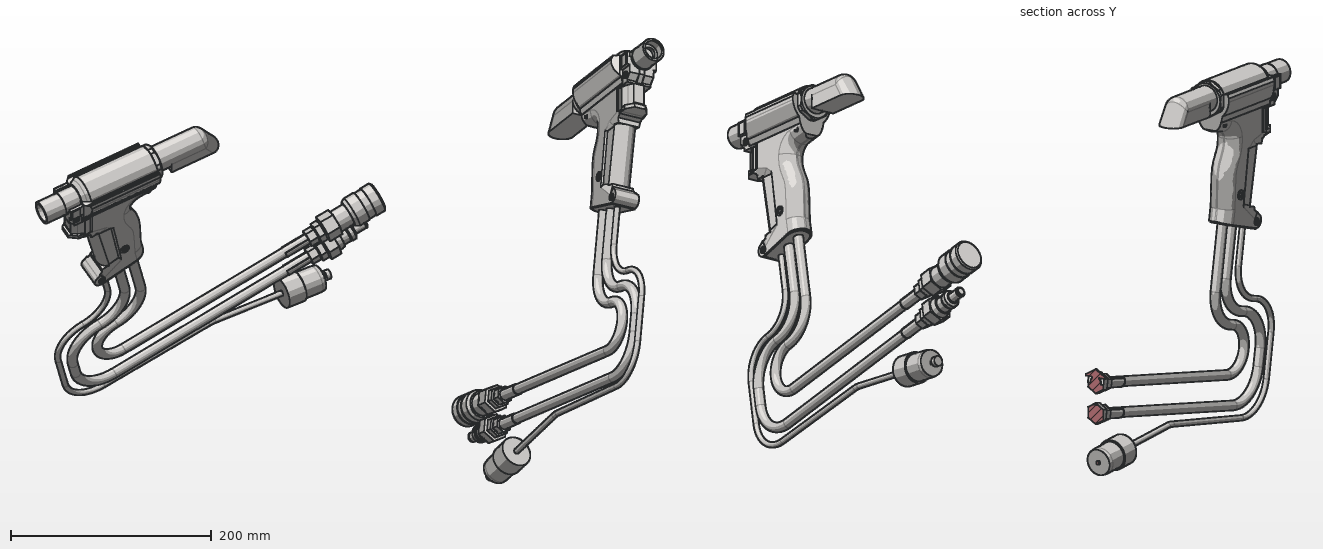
import cadquery as cq
import math


MARGIN = 1.0

BARREL_RADIUS = 18.5
BARREL_REAR = -124.0
BARREL_FRONT = -39.5
SHOULDER_REAR = (-47.6, BARREL_RADIUS)
SHOULDER_MIDDLE = (-43.8, BARREL_RADIUS - 2.2)
SHOULDER_FRONT_RADIUS = 13.8
NOSE_RADIUS = 11.9
NOSE_SLEEVE_RADIUS = 12.2
NOSE_SLEEVE_FRONT = -21.8
NOSE_BORE_RADIUS = 9.5
NOSE_BORE_DEPTH = 9.0
TIP_HOLE_RADIUS = 13.08 / 2
TIP_HOLE_DEPTH = 4.0

COLLAR_FLATS = 34.0
COLLAR_LENGTH = 6.0
COLLAR_OUTER_RADIUS = 18.2
COLLAR_CHAMFER = 1.5

SPOUT_RADIUS = 13.3
SPOUT_ROUNDING = 8.0
SPOUT_RISE = 1.1
SPOUT_FLOOR = -13.1 - SPOUT_RISE
SPOUT_SLOPE = math.radians(58)
SPOUT_BEND = -181.3
SPOUT_BOX_FRONT = -142.3
SPOUT_SLOPED_HALF_DEPTH = 9.7
SPOUT_REACH = 40.0

OVERALL_WIDTH = 46.41
EAR_HALF = OVERALL_WIDTH / 2
EAR_TOP = 7.0
EAR_LIP_INNER = 19.6
EAR_LIP_HEIGHT = 0.5
EAR_CORNER = 1.3
EAR_BOTTOM = -23.5
EAR_CURVE_TOP = 3.2
EAR_CURVE_MIDDLE = (21.2, -8.5)
EAR_CURVE_END = (15.3, -16.8)
EAR_BASE_HALF = 13.9
EAR_FRONT = -38.8
EAR_TAPER = 6.2
LUG_HALF = 16.7
LUG_PAD_MARGIN = 4.0
LUG_PAD_HEIGHT = 0.5
LUG_PAD_HEAD = 1.0
LUG_FRONT = -24.0
LUG_TOP = 4.7
LUG_BOTTOM = -9.3
BLOCK_REAR = -48.0
BLOCK_BOTTOM = -26.0
CHAMFER_TOP = -17.6
CHAMFER_REAR = -30.0
LUG_INNER_HALF = 13.6
CLIP_HALF = 3.0
CLIP_PROUD = 0.8
CLIP_BOTTOM = -25.0

GRIP_HALF = 13.5
GRIP_TOP = -10.0
HEAD_FRONT = -50.8
SHELF_UNDERSIDE = [(-124.0, -33.0), (-120.0, -35.6), (-107.8, -37.9)]
THROAT_END = (-99.6, -47.0)
GRIP_BACK = [(-107.8, -71.7), (-111.5, -95.2), (-112.2, -117.0)]
GRIP_BACK_TANGENTS = [(0.08, -1), (-0.03, -1)]
HEEL = (-114.6, -130.0)
TOE_TIP = (-54.2, -142.5)
TOE_TOP = (-57.5, -133.0)
INSTEP = (-62.8, -127.8)
HEAD_UNDERSIDE = [(-49.8, -57.0), (-46.1, -54.1), (-40.2, -52.6), (HEAD_FRONT, -50.0)]
GRIP_ROUNDED_LOW = (97.0, -128.0)
GRIP_ROUNDED_HIGH = (119.0, -36.0)
GRIP_REAR_ROUNDING = 12.7
FOOT_REAR = (-113.0, -131.0)
FOOT_FRONT = (-62.3, -146.6)
FOOT_COVER_THICKNESS = 1.2
FOOT_COVER_INSET = 0.5
PANEL_HALF = 11.7
PANEL_OVERCUT = 0.01
PANEL_FLOOR_OUTLINE = [
    (-73.3, -62.1), (-82.1, -117.5), (-61.0, -125.0), (-40.0, -125.0), (-40.0, -62.1), (-60.0, -62.1)
]
PANEL_RIM_OUTLINE = [
    (-75.2, -60.7), (-84.3, -119.9), (-64.5, -137.0), (-60.0, -129.0), (-45.0, -48.5), (-66.7, -54.1)
]
PANEL_FRONT_DEPTH = 8.5
PANEL_FRONT_RADIUS = (PANEL_HALF**2 + PANEL_FRONT_DEPTH**2) / (2 * PANEL_FRONT_DEPTH)
PANEL_FRONT_LOW = (-63.0, -124.6)
PANEL_FRONT_HIGH = (-50.5, -62.1)
TRIGGER_FLOOR = -49.0
TRIGGER_TOP = -24.0
TRIGGER_REAR = -51.0
TRIGGER_BASE = -52.0
TRIGGER_PLAN = [(12.0, 46.0), (12.0, 43.2), (9.5, 36.0), (5.7, 30.7)]
TRIGGER_STEPS = [(-48.8, GRIP_HALF - 0.4), (-43.2, GRIP_HALF - 0.8)]
LEDGE_PLAN = [(12.5, 46.0), (12.5, 36.0), (6.0, 27.4)]
BUTTON_FRONT = -29.7
BUTTON_TOP = -26.0
BUTTON_HALF = 5.7
BUTTON_BOTTOM = -46.8
LEDGE_THICKNESS = 4.2

SCREW_HEAD_HEIGHT = 0.6
SCREW_SLOT_WIDTH = 1.52
SCREW_SLOT_RATIO = 0.65
FRONT_SCREW = (-32.5, -17.3, 7.34, 13.6)
REAR_SCREW = (-115.6, -27.0, 5.77, 12.4)
FOOT_SCREW = (-61.8, -140.0, 7.34, 13.5)
PIN_CENTER = (-88.4, -106.2)
PIN_RECESS_DIAMETER = 9.53
PIN_DIAMETER = 4.83
PIN_RECESS_DEPTH = 1.0

HOSE_DIAMETER = 10.16
CABLE_DIAMETER = 5.79
CABLE_OFFSET = -2.3
SLEEVE_SLOT_WIDTH = 7.3
GRIP_TILT = 10.0
DOWN_HEADING = -90.0 - GRIP_TILT
HOSE_NUTS = [
    ("sleeve", 27.0, 11.44),
    ("hex", 9.5, 15.11),
    ("round", 0.8, 13.08),
    ("hex", 7.0, 19.0),
    ("round", 1.2, 13.08),
]
COUPLER = HOSE_NUTS + [
    ("hex", 14.5, 24.4),
    ("round", 15.0, 23.0),
    ("cone", 4.0, (27.0, 31.75)),
    ("round", 11.5, 31.75),
    ("round", 8.0, 30.2),
    ("round", 10.0, 31.75),
    ("cone", 1.5, (31.75, 28.5)),
]
PLUG = HOSE_NUTS + [
    ("hex", 11.5, 24.4),
    ("cone", 6.5, (22.0, 19.5)),
    ("round", 8.0, 16.5),
    ("round", 1.5, 15.11),
    ("round", 4.5, 17.78),
    ("cone", 2.0, (17.78, 12.59)),
    ("round", 12.0, 9.78),
    ("round", 1.5, 10.16),
    ("cone", 1.0, (10.16, 7.34)),
]
CAP = [
    ("round", 19.6, 31.75),
    ("round", 19.5, 28.2),
    ("cone", 4.5, (28.2, 27.0)),
    ("round", 6.0, 4.06),
    ("round", 5.0, 10.16),
]
LEAD_BEND = 35.5
TIGHT_BEND = 25.4
WIDE_BEND = 38.1
CABLE_BEND = 35.0


def side_plane(x=0.0):
    """Plane parallel to YZ whose local axes are forward (u) and up (v)."""
    return cq.Plane(origin=(x, 0, 0), xDir=(0, -1, 0), normal=(-1, 0, 0))


def side_plate(outline, half_width):
    """Closed (u, v) wire extruded evenly to both sides of the middle plane."""
    return outline.close().extrude(half_width, both=True)


def side_polygon(points):
    return cq.Workplane(side_plane()).polyline(points)


def rod(rear, front, radius):
    """Cylinder along the barrel axis between two u positions."""
    return cq.Workplane("XZ").workplane(offset=rear).circle(radius).extrude(front - rear)


def heading_vector(heading):
    """Unit direction of a heading given in degrees in the (u, v) plane."""
    angle = math.radians(heading)
    return cq.Vector(0, -math.cos(angle), math.sin(angle))


def make_barrel():
    profile = (
        cq.Workplane(side_plane())
        .moveTo(BARREL_REAR, 0)
        .lineTo(BARREL_REAR, BARREL_RADIUS)
        .lineTo(*SHOULDER_REAR)
        .lineTo(*SHOULDER_MIDDLE)
        .lineTo(BARREL_FRONT, SHOULDER_FRONT_RADIUS)
        .lineTo(BARREL_FRONT, NOSE_SLEEVE_RADIUS)
        .lineTo(NOSE_SLEEVE_FRONT, NOSE_SLEEVE_RADIUS)
        .lineTo(NOSE_SLEEVE_FRONT, NOSE_RADIUS)
        .lineTo(0, NOSE_RADIUS)
        .lineTo(0, 0)
        .close()
    )
    return profile.revolve(360, (0, 0), (1, 0))


def make_nose_bore():
    floor = -NOSE_BORE_DEPTH
    return rod(floor, 0, NOSE_BORE_RADIUS).union(rod(floor - TIP_HOLE_DEPTH, floor, TIP_HOLE_RADIUS))


def make_collar():
    rear = BARREL_REAR - COLLAR_LENGTH
    corner_diameter = COLLAR_FLATS / math.cos(math.pi / 6)
    hexagon = cq.Workplane("XZ").workplane(offset=rear).transformed(rotate=(0, 0, 30))
    hexagon = hexagon.polygon(6, corner_diameter).extrude(COLLAR_LENGTH)
    turned = rod(rear, BARREL_REAR, COLLAR_OUTER_RADIUS).faces(">Y").chamfer(COLLAR_CHAMFER)
    return hexagon.intersect(turned)


def make_spout():
    """Round tube whose rear half has straight sides and a flat floor, closed by a sloping round end."""
    reach = SPOUT_REACH
    rear = SPOUT_BEND - reach
    tube = rod(rear, BARREL_REAR, SPOUT_RADIUS)
    sides = side_plate(
        side_polygon([(rear, 0), (SPOUT_BOX_FRONT, 0), (SPOUT_BOX_FRONT, -reach), (rear, -reach)]),
        SPOUT_RADIUS,
    )
    slope = cq.Vector(0, math.cos(SPOUT_SLOPE), -math.sin(SPOUT_SLOPE))
    start = cq.Vector(0, -SPOUT_BEND, 0)
    slope_plane = cq.Plane(origin=start.toTuple(), xDir=(1, 0, 0), normal=slope.toTuple())
    rounded_end = cq.Workplane(slope_plane).workplane(offset=-reach)
    rounded_end = rounded_end.ellipse(SPOUT_RADIUS, SPOUT_SLOPED_HALF_DEPTH).extrude(2 * reach)
    run = reach * math.cos(SPOUT_SLOPE)
    rise = reach * math.sin(SPOUT_SLOPE)
    ahead = side_plate(
        side_polygon(
            [
                (SPOUT_BEND - run, -rise),
                (SPOUT_BEND + run, rise),
                (BARREL_REAR, rise),
                (BARREL_REAR, -rise),
            ]
        ),
        reach,
    )
    spout = tube.union(sides).intersect(rounded_end.union(ahead))
    floor = cq.Workplane("XY").workplane(offset=SPOUT_FLOOR).center(0, -SPOUT_BEND)
    spout = spout.intersect(floor.rect(2 * reach, 4 * reach).extrude(2 * reach))
    crown_end = -SPOUT_BEND + SPOUT_RADIUS
    crown = cq.selectors.BoxSelector((-MARGIN, -SPOUT_BEND, 0), (MARGIN, crown_end, SPOUT_RADIUS))
    return spout.edges(crown).fillet(SPOUT_ROUNDING).translate((0, 0, SPOUT_RISE))


def make_ears():
    half_section = (
        cq.Workplane("XZ")
        .workplane(offset=BARREL_REAR)
        .moveTo(0, EAR_TOP - EAR_LIP_HEIGHT)
        .lineTo(EAR_LIP_INNER, EAR_TOP - EAR_LIP_HEIGHT)
        .lineTo(EAR_LIP_INNER, EAR_TOP)
        .lineTo(EAR_HALF - EAR_CORNER, EAR_TOP)
        .lineTo(EAR_HALF, EAR_CURVE_TOP)
        .threePointArc(EAR_CURVE_MIDDLE, EAR_CURVE_END)
        .lineTo(EAR_BASE_HALF, EAR_BOTTOM)
        .lineTo(0, EAR_BOTTOM)
        .close()
        .extrude(EAR_FRONT - BARREL_REAR)
    )
    section = half_section.union(half_section.mirror("YZ"))
    plan = cq.Workplane("XY").polyline(
        [
            (-EAR_HALF, -BARREL_REAR),
            (EAR_HALF, -BARREL_REAR),
            (EAR_HALF, -EAR_FRONT + EAR_TAPER),
            (EAR_HALF - EAR_TAPER, -EAR_FRONT),
            (EAR_TAPER - EAR_HALF, -EAR_FRONT),
            (-EAR_HALF, -EAR_FRONT + EAR_TAPER),
        ]
    )
    plan = plan.close().extrude(2 * EAR_HALF, both=True)
    return section.intersect(plan)


def make_front_block():
    lugs = side_plate(
        side_polygon(
            [(EAR_FRONT, LUG_TOP), (LUG_FRONT, LUG_TOP), (LUG_FRONT, LUG_BOTTOM), (EAR_FRONT, LUG_BOTTOM)]
        ),
        LUG_HALF,
    )
    gap = side_plate(
        side_polygon(
            [(EAR_FRONT, 0), (LUG_FRONT, 0), (LUG_FRONT, LUG_TOP), (EAR_FRONT, LUG_TOP)]
        ),
        LUG_INNER_HALF,
    )
    block = side_plate(
        side_polygon(
            [
                (BLOCK_REAR, LUG_BOTTOM),
                (LUG_FRONT, LUG_BOTTOM),
                (LUG_FRONT, CHAMFER_TOP),
                (CHAMFER_REAR, EAR_BOTTOM),
                (CHAMFER_REAR, BLOCK_BOTTOM),
                (BLOCK_REAR, BLOCK_BOTTOM),
            ]
        ),
        GRIP_HALF,
    )
    clip = side_plate(
        side_polygon(
            [
                (BLOCK_REAR, LUG_BOTTOM),
                (LUG_FRONT + CLIP_PROUD, LUG_BOTTOM),
                (LUG_FRONT + CLIP_PROUD, CHAMFER_TOP),
                (CHAMFER_REAR + CLIP_PROUD, CLIP_BOTTOM),
                (BLOCK_REAR, CLIP_BOTTOM),
            ]
        ),
        CLIP_HALF,
    )
    pad_rear = EAR_FRONT + LUG_PAD_MARGIN
    pad_front = LUG_FRONT - LUG_PAD_MARGIN / 2
    pads = side_plate(
        side_polygon(
            [
                (pad_rear, LUG_TOP - LUG_PAD_HEAD),
                (pad_front, LUG_TOP - LUG_PAD_HEAD),
                (pad_front, LUG_BOTTOM),
                (pad_rear, LUG_BOTTOM),
            ]
        ),
        LUG_HALF + LUG_PAD_HEIGHT,
    )
    lugs = lugs.union(pads)
    return lugs.cut(gap).union(block).union(clip)


def make_grip():
    outline = (
        cq.Workplane(side_plane())
        .moveTo(HEAD_FRONT, GRIP_TOP)
        .lineTo(BARREL_REAR, GRIP_TOP)
        .polyline(SHELF_UNDERSIDE, includeCurrent=True)
        .tangentArcPoint(THROAT_END, relative=False)
        .spline(GRIP_BACK, tangents=GRIP_BACK_TANGENTS, includeCurrent=True)
        .lineTo(*HEEL)
        .lineTo(*FOOT_REAR)
        .lineTo(*FOOT_FRONT)
        .threePointArc(TOE_TIP, TOE_TOP)
        .lineTo(*INSTEP)
        .lineTo(*PANEL_FRONT_LOW)
        .lineTo(*PANEL_FRONT_HIGH)
        .polyline(HEAD_UNDERSIDE, includeCurrent=True)
    )
    grip = side_plate(outline, GRIP_HALF)
    reach = GRIP_HALF + MARGIN
    rear_edges = cq.selectors.BoxSelector((-reach, *GRIP_ROUNDED_LOW), (reach, *GRIP_ROUNDED_HIGH))
    grip = grip.edges("(not |X)").edges(rear_edges).fillet(GRIP_REAR_ROUNDING)
    for side in (-1, 1):
        grip = grip.cut(make_grip_panel(side)).cut(make_panel_corner(side))
    return grip.union(make_foot_cover())


def make_foot_cover():
    """Thin plate under the grip, set in slightly from its sides."""
    rear_u, rear_v = FOOT_REAR
    front_u, front_v = FOOT_FRONT
    plate = side_plate(
        side_polygon(
            [
                (rear_u, rear_v),
                (front_u, front_v),
                (front_u, front_v - FOOT_COVER_THICKNESS),
                (rear_u, rear_v - FOOT_COVER_THICKNESS),
            ]
        ),
        GRIP_HALF,
    )
    half = GRIP_HALF - FOOT_COVER_INSET
    plan = (
        cq.Workplane("XY")
        .workplane(offset=2 * front_v)
        .moveTo(-half, -front_u)
        .lineTo(-half, -rear_u - half)
        .threePointArc((0, -rear_u), (half, -rear_u - half))
        .lineTo(half, -front_u)
        .close()
        .extrude(-2 * front_v)
    )
    return plate.intersect(plan)


def make_panel_corner(side):
    """Waste outside the rounded front corner of the narrowed part of the grip."""
    low = cq.Vector(0, -PANEL_FRONT_LOW[0], PANEL_FRONT_LOW[1])
    high = cq.Vector(0, -PANEL_FRONT_HIGH[0], PANEL_FRONT_HIGH[1])
    along = high - low
    mid_angle = math.asin(PANEL_HALF / PANEL_FRONT_RADIUS) / 2
    mid_x = PANEL_FRONT_RADIUS * math.sin(mid_angle)
    mid_depth = PANEL_FRONT_RADIUS * (1 - math.cos(mid_angle))
    plane = cq.Plane(origin=low.toTuple(), xDir=(1, 0, 0), normal=along.toTuple())
    waste = (
        cq.Workplane(plane)
        .threePointArc((side * mid_x, mid_depth), (side * PANEL_HALF, PANEL_FRONT_DEPTH))
        .lineTo(side * (GRIP_HALF + MARGIN), PANEL_FRONT_DEPTH)
        .lineTo(side * (GRIP_HALF + MARGIN), -MARGIN)
        .lineTo(0, -MARGIN)
        .close()
    )
    return waste.extrude(along.Length)


def make_grip_panel(side):
    """Waste beside the narrowed front of the grip, with sloping ramps at its top and bottom."""
    return (
        cq.Workplane(side_plane(side * PANEL_HALF))
        .polyline(PANEL_FLOOR_OUTLINE)
        .close()
        .workplane(offset=-side * (GRIP_HALF + PANEL_OVERCUT - PANEL_HALF))
        .polyline(PANEL_RIM_OUTLINE)
        .close()
        .loft(ruled=True)
    )


def mirrored_plan(height, half_outline, thickness):
    """Plan outline given for +X only, mirrored to -X and extruded upward from a height."""
    mirrored = [(-x, y) for x, y in reversed(half_outline)]
    plan = cq.Workplane("XY").workplane(offset=height).polyline(half_outline + mirrored)
    return plan.close().extrude(thickness)


def trigger_box(rear, front, bottom, top, half_width):
    corners = [(rear, bottom), (rear, top), (front, top), (front, bottom)]
    return side_plate(side_polygon(corners), half_width)


def make_trigger():
    """Stepped housing with tapering sides, a front button and a ledge beneath."""
    trigger = mirrored_plan(TRIGGER_FLOOR, TRIGGER_PLAN, TRIGGER_TOP - TRIGGER_FLOOR)
    for front, half_width in TRIGGER_STEPS:
        trigger = trigger.union(trigger_box(TRIGGER_REAR, front, TRIGGER_BASE, TRIGGER_TOP, half_width))
    button = trigger_box(TRIGGER_REAR, BUTTON_FRONT, BUTTON_BOTTOM, BUTTON_TOP, BUTTON_HALF)
    ledge = mirrored_plan(TRIGGER_FLOOR - LEDGE_THICKNESS, LEDGE_PLAN, LEDGE_THICKNESS)
    return trigger.union(button).union(ledge)


def side_discs(u, v, diameter, inner, outer):
    """Two discs, mirrored about the middle plane, between two distances from it."""
    disc = cq.Workplane(side_plane(-inner)).center(u, v).circle(diameter / 2).extrude(outer - inner)
    return disc.union(disc.mirror("YZ"))


def make_screw(u, v, diameter, half_width):
    """Screw heads on both sides, each with a cross recess."""
    outer = half_width + SCREW_HEAD_HEIGHT
    heads = side_discs(u, v, diameter, half_width - MARGIN, outer)
    slot_length = SCREW_SLOT_RATIO * diameter
    for width, height in ((slot_length, SCREW_SLOT_WIDTH), (SCREW_SLOT_WIDTH, slot_length)):
        slot = cq.Workplane(side_plane()).center(u, v).rect(width, height).extrude(outer, both=True)
        core = cq.Workplane(side_plane()).center(u, v).rect(width, height).extrude(half_width, both=True)
        heads = heads.cut(slot.cut(core))
    return heads


def make_pin_recesses():
    """Ring-shaped recess around the cross pin of the grip."""
    floor = GRIP_HALF - PIN_RECESS_DEPTH
    ring = side_discs(*PIN_CENTER, PIN_RECESS_DIAMETER, floor, GRIP_HALF + MARGIN)
    return ring.cut(side_discs(*PIN_CENTER, PIN_DIAMETER, floor, GRIP_HALF - PIN_RECESS_DEPTH / 2))


def run_route(start, x, moves, diameter):
    """Sweep a round hose along straight lengths and bends; return it with its end point and heading.

    A move is ("straight", length) or ("bend", radius, turn), the turn in degrees, positive to the left.
    """
    u, v = start
    heading = DOWN_HEADING
    path = cq.Workplane(side_plane(x)).moveTo(u, v)
    for move in moves:
        if move[0] == "straight":
            u += move[1] * math.cos(math.radians(heading))
            v += move[1] * math.sin(math.radians(heading))
            path = path.lineTo(u, v)
        else:
            radius, turn = move[1:]
            chord = 2 * radius * math.sin(math.radians(abs(turn)) / 2)
            chord_heading = math.radians(heading + turn / 2)
            u += chord * math.cos(chord_heading)
            v += chord * math.sin(chord_heading)
            heading += turn
            path = path.tangentArcPoint((u, v), relative=False)
    first = cq.Plane(
        origin=(x, -start[0], start[1]), xDir=(1, 0, 0), normal=heading_vector(DOWN_HEADING).toTuple()
    )
    hose = cq.Workplane(first).circle(diameter / 2).sweep(path)
    return hose, (x, -u, v), heading


def stack(end, heading, steps):
    """Chain of coaxial steps starting at a hose end, each given as (shape, length, size).

    The size is a diameter, a distance across flats, or the two end diameters of a cone.
    """
    direction = heading_vector(heading)
    position = cq.Vector(*end)
    pieces = None
    for shape, length, size in steps:
        plane = cq.Plane(origin=position.toTuple(), xDir=(1, 0, 0), normal=direction.toTuple())
        work = cq.Workplane(plane)
        if shape == "hex":
            corner = size / math.cos(math.pi / 6)
            piece = work.transformed(rotate=(0, 0, 30)).polygon(6, corner).extrude(length)
        elif shape == "sleeve":
            slot = work.center(0, -size / 2).rect(SLEEVE_SLOT_WIDTH, size / 2).extrude(length)
            piece = work.circle(size / 2).extrude(length).cut(slot)
            piece = piece.union(cq.Workplane(plane).circle(HOSE_DIAMETER / 2).extrude(length))
        elif shape == "cone":
            piece = work.circle(size[0] / 2).workplane(offset=length).circle(size[1] / 2).loft()
        else:
            piece = work.circle(size / 2).extrude(length)
        pieces = piece if pieces is None else pieces.union(piece)
        position = position + direction * length
    return pieces


def make_hoses():
    """Two hoses and the thin cable, each with its end fitting."""
    runs = [
        (
            (-99.5, -121.2),
            0.0,
            [("straight", 82.5), ("bend", LEAD_BEND, 90), ("bend", TIGHT_BEND, -90),
             ("bend", TIGHT_BEND, -91), ("straight", 188.6)],
            HOSE_DIAMETER,
            COUPLER,
        ),
        (
            (-83.0, -121.2),
            0.0,
            [("straight", 72.5), ("bend", LEAD_BEND, 90), ("bend", WIDE_BEND, -90),
             ("straight", 19.1), ("bend", WIDE_BEND, -91), ("straight", 201.0)],
            HOSE_DIAMETER,
            PLUG,
        ),
        (
            (-67.0, -126.2),
            CABLE_OFFSET,
            [("straight", 58.5), ("bend", CABLE_BEND, 90), ("bend", CABLE_BEND, -90),
             ("straight", 47.5), ("bend", WIDE_BEND, -90), ("straight", 122.7),
             ("bend", TIGHT_BEND, 15), ("straight", 78.0)],
            CABLE_DIAMETER,
            CAP,
        ),
    ]
    pieces = []
    for start, x, moves, diameter, fitting in runs:
        hose, end, heading = run_route(start, x, moves, diameter)
        pieces.append(hose.union(stack(end, heading, fitting)))
    return pieces


result = make_barrel()
parts = [make_collar(), make_spout(), make_ears(), make_front_block(), make_grip(), make_trigger()]
parts += [make_screw(*screw) for screw in (FRONT_SCREW, REAR_SCREW, FOOT_SCREW)]
for part in parts + make_hoses():
    result = result.union(part)
result = result.cut(make_pin_recesses())
result = result.cut(make_nose_bore())